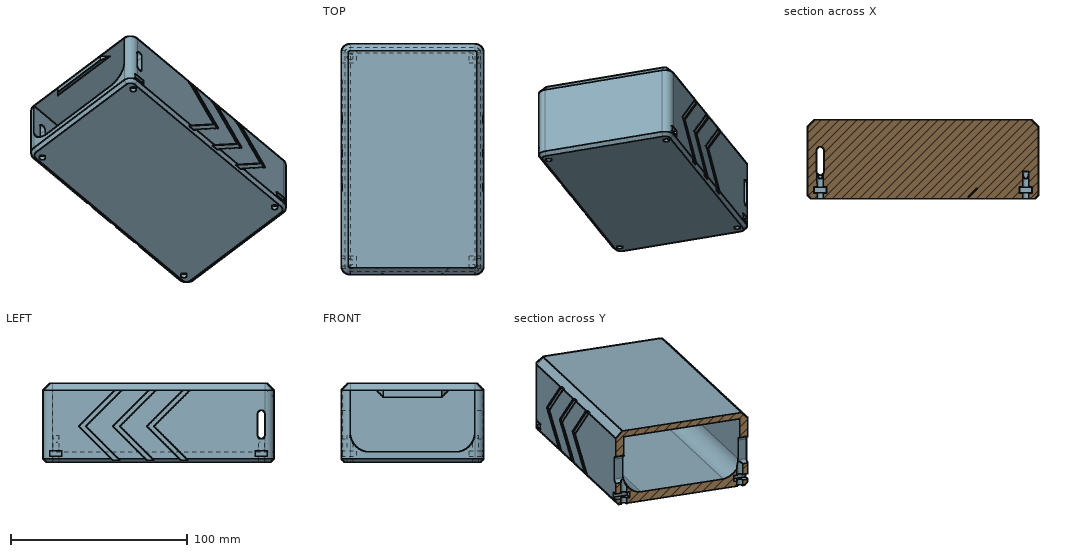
import cadquery as cq
import math

WIDTH = 81.0
LENGTH = 131.0
HEIGHT = 45.0

CORNER_RADIUS = 5.25
TOP_CHAMFER = 4.0
BOTTOM_CHAMFER = 2.0

SIDE_WALL = 5.25
END_WALL = 5.25
ROOF = TOP_CHAMFER
FLOOR = 6.0
ROUNDING_LEG = 10.0
ROUNDING_RADIUS = 11.0

LIP_DROP = 4.0
LIP_FRONT_WIDTH = 33.0

SLOT_WIDTH = 4.0
SLOT_HEIGHT = 16.0
SLOT_BOTTOM = 13.5
SLOT_FROM_END = CORNER_RADIUS

CHEVRON_COUNT = 3
CHEVRON_PITCH = 19.3
CHEVRON_WIDTH_ALONG_Y = 4.0
CHEVRON_DEPTH = 0.8
CHEVRON_TIP_Z = 20.5
CHEVRON_FIRST_TIP_FROM_END = 20.3

BORE_DIAMETER = 3.4
BORE_FROM_SIDE = 5.0
BORE_FROM_END = SLOT_FROM_END + SLOT_WIDTH / 2
BORE_HEIGHT = SLOT_BOTTOM + SLOT_WIDTH / 2

POCKET_LENGTH = 7.0
POCKET_HEIGHT = 3.2
POCKET_BOTTOM = 3.5
POCKET_DEPTH = BORE_FROM_SIDE + POCKET_LENGTH / 2


def outer_body():
    """Block with round upright corners and chamfered top and bottom rims."""
    body = cq.Workplane("XY").box(WIDTH, LENGTH, HEIGHT, centered=(True, True, False))
    body = body.edges("|Z").fillet(CORNER_RADIUS)
    body = body.faces(">Z").chamfer(TOP_CHAMFER)
    return body.faces("<Z").chamfer(BOTTOM_CHAMFER)


def cavity():
    """Inner space with shallow arcs along its lower edges, running out through the -Y end."""
    half_width = WIDTH / 2 - SIDE_WALL
    half_floor = half_width - ROUNDING_LEG
    roof_z = HEIGHT - ROOF
    wall_foot_z = FLOOR + ROUNDING_LEG
    half_chord = ROUNDING_LEG / math.sqrt(2)
    bulge = ROUNDING_RADIUS - math.sqrt(ROUNDING_RADIUS**2 - half_chord**2)
    middle_x = half_width - ROUNDING_LEG / 2 + bulge / math.sqrt(2)
    middle_z = FLOOR + ROUNDING_LEG / 2 - bulge / math.sqrt(2)
    outline = (
        cq.Workplane("XZ")
        .moveTo(-half_width, roof_z)
        .lineTo(-half_width, wall_foot_z)
        .threePointArc((-middle_x, middle_z), (-half_floor, FLOOR))
        .lineTo(half_floor, FLOOR)
        .threePointArc((middle_x, middle_z), (half_width, wall_foot_z))
        .lineTo(half_width, roof_z)
        .close()
    )
    return outline.extrude(-(LENGTH - END_WALL)).translate((0, -LENGTH / 2, 0))


def lip():
    """Wedge under the roof: upright front face, with 45 degree underside and ends behind it."""
    roof_z = HEIGHT - ROOF
    lip_z = roof_z - LIP_DROP
    half_front = LIP_FRONT_WIDTH / 2
    half_back = half_front + LIP_DROP
    side_profile = [(0, roof_z), (0, lip_z), (LIP_DROP, roof_z)]
    wedge = cq.Workplane("YZ").polyline(side_profile).close().extrude(half_back, both=True)
    plan = [(-half_front, 0), (half_front, 0), (half_back, LIP_DROP), (-half_back, LIP_DROP)]
    plan_prism = cq.Workplane("XY").polyline(plan).close().extrude(HEIGHT)
    return wedge.intersect(plan_prism).translate((0, -LENGTH / 2, 0))


def side_slot():
    """Upright round-ended slot through both side walls."""
    center_y = -LENGTH / 2 + SLOT_FROM_END + SLOT_WIDTH / 2
    center_z = SLOT_BOTTOM + SLOT_HEIGHT / 2
    plane = cq.Workplane("YZ").center(center_y, center_z)
    return plane.slot2D(SLOT_HEIGHT, SLOT_WIDTH, 90).extrude(WIDTH / 2, both=True)


def chevron(tip_y):
    """One 45 degree chevron groove in the -X face, from the base to the top chamfer."""
    top_z = HEIGHT - TOP_CHAMFER
    upper_y = tip_y - (top_z - CHEVRON_TIP_Z)
    lower_y = tip_y - CHEVRON_TIP_Z
    outline = [
        (upper_y, top_z),
        (tip_y, CHEVRON_TIP_Z),
        (lower_y, 0),
        (lower_y - CHEVRON_WIDTH_ALONG_Y, 0),
        (tip_y - CHEVRON_WIDTH_ALONG_Y, CHEVRON_TIP_Z),
        (upper_y - CHEVRON_WIDTH_ALONG_Y, top_z),
    ]
    groove = cq.Workplane("YZ").polyline(outline).close().extrude(CHEVRON_DEPTH)
    return groove.translate((-WIDTH / 2, 0, 0))


def screw_bore(end):
    """Upright bore near the -X face; end is +1 for the +Y end and -1 for the mouth."""
    center_y = end * (LENGTH / 2 - BORE_FROM_END)
    bore = cq.Workplane("XY").circle(BORE_DIAMETER / 2).extrude(BORE_HEIGHT)
    return bore.translate((-WIDTH / 2 + BORE_FROM_SIDE, center_y, 0))


def nut_pocket(end):
    """Rectangular pocket in the -X face across the bore at the same end."""
    center_y = end * (LENGTH / 2 - BORE_FROM_END)
    pocket = cq.Workplane("XY").box(POCKET_DEPTH, POCKET_LENGTH, POCKET_HEIGHT, centered=(False, True, False))
    return pocket.translate((-WIDTH / 2, center_y, POCKET_BOTTOM))


side_cuts = []
for end in (-1, 1):
    side_cuts.append(screw_bore(end))
    side_cuts.append(nut_pocket(end))
for index in range(CHEVRON_COUNT):
    tip_from_end = CHEVRON_FIRST_TIP_FROM_END + index * CHEVRON_PITCH
    side_cuts.append(chevron(LENGTH / 2 - tip_from_end))

result = outer_body().cut(cavity()).union(lip()).cut(side_slot())

for side_cut in side_cuts:
    result = result.cut(side_cut).cut(side_cut.mirror("YZ"))